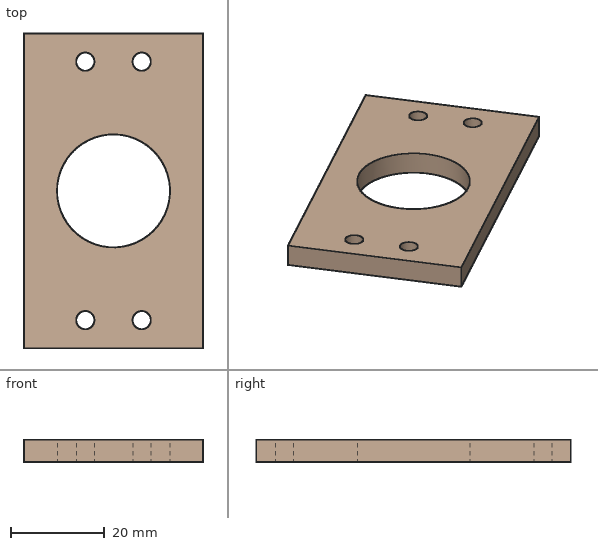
import cadquery as cq

plate_width = 38.1
plate_length = 67.0
plate_thickness = 4.76

bore_diameter = 24.0

mount_hole_diameter = 3.83
mount_spacing_x = 12.0
mount_spacing_y = 55.0


def make_plate():
    """Rectangular plate centred on the origin in X and Y, resting on Z = 0."""
    return cq.Workplane("XY").box(
        plate_width, plate_length, plate_thickness, centered=(True, True, False)
    )


def cut_bore(body):
    """Through bore in the middle of the plate."""
    return body.faces(">Z").workplane(origin=(0, 0, 0)).hole(bore_diameter)


def cut_mounting_holes(body):
    """Four through holes on a rectangle centred on the bore."""
    return (
        body.faces(">Z")
        .workplane(origin=(0, 0, 0))
        .rarray(mount_spacing_x, mount_spacing_y, 2, 2)
        .hole(mount_hole_diameter)
    )


result = cut_mounting_holes(cut_bore(make_plate()))